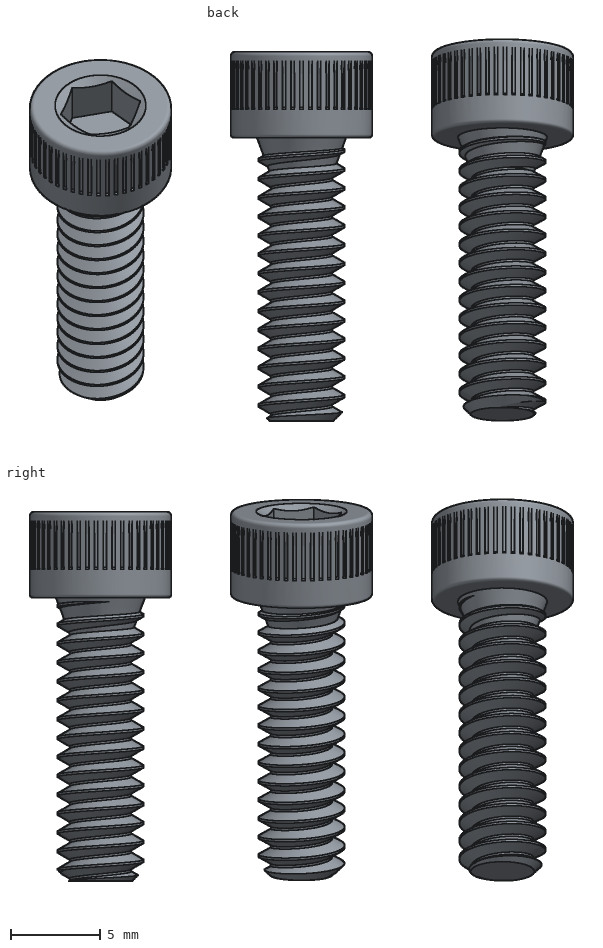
import cadquery as cq
import math

TOTAL_LENGTH = 20.7
HEAD_HEIGHT = 4.82
HEAD_RADIUS = 3.97
SHANK_LENGTH = TOTAL_LENGTH - HEAD_HEIGHT
HEAD_TOP_FILLET = 0.25
HEAD_BOTTOM_FILLET = 0.19

SOCKET_SIDES = 6
SOCKET_FLATS = 3.97
SOCKET_DEPTH = 2.45
COUNTERSINK_RADIUS = 2.55
COUNTERSINK_SLOPE = 30.0

KNURL_COUNT = 50
KNURL_WIDTH = 0.19
KNURL_DEPTH = 0.1
KNURL_TOP = 0.52
KNURL_BOTTOM = 3.23
KNURL_RAMP = 0.75

THREAD_TURNS = 15
PITCH = SHANK_LENGTH / THREAD_TURNS
OVERRUN_TURNS = 2
CREST_RADIUS = 2.42
CREST_FLAT = PITCH / 8
ROOT_FLAT = PITCH / 8
FLANK_ANGLE = 30.0
FLANK_RISE = (PITCH - CREST_FLAT - ROOT_FLAT) / 2
THREAD_DEPTH = FLANK_RISE / math.tan(math.radians(FLANK_ANGLE))
ROOT_RADIUS = CREST_RADIUS - THREAD_DEPTH
TIP_CHAMFER = 0.65
RIDGE_PHASE = 0.87

NECK_RADIUS = 2.5
NECK_LENGTH = 2.07

OVERLAP = 0.06


def make_head():
    head = cq.Workplane("XY").workplane(offset=SHANK_LENGTH).circle(HEAD_RADIUS).extrude(HEAD_HEIGHT)
    head = head.faces(">Z").edges().fillet(HEAD_TOP_FILLET)
    return head.faces("<Z").edges().fillet(HEAD_BOTTOM_FILLET)


def make_socket():
    """Hexagonal prism with corners on the Y axis, plus the countersink cone at its mouth."""
    across_corners = SOCKET_FLATS / math.cos(math.pi / SOCKET_SIDES)
    hexagon = (
        cq.Workplane("XY")
        .workplane(offset=TOTAL_LENGTH - SOCKET_DEPTH)
        .transformed(rotate=(0, 0, 90))
        .polygon(SOCKET_SIDES, across_corners)
        .extrude(SOCKET_DEPTH)
    )
    cone_depth = COUNTERSINK_RADIUS * math.tan(math.radians(COUNTERSINK_SLOPE))
    cone = cq.Solid.makeCone(0, COUNTERSINK_RADIUS, cone_depth, cq.Vector(0, 0, TOTAL_LENGTH - cone_depth))
    return hexagon.union(cq.Workplane(cone))


def make_knurl_cutters():
    """Narrow grooves with a long ramp at the top and a 45 degree ramp at the bottom."""
    floor = HEAD_RADIUS - KNURL_DEPTH
    outside = HEAD_RADIUS + OVERLAP
    top = TOTAL_LENGTH - KNURL_TOP
    bottom = TOTAL_LENGTH - KNURL_BOTTOM
    groove = (
        cq.Workplane("XZ")
        .moveTo(HEAD_RADIUS, top)
        .lineTo(floor, top - KNURL_RAMP)
        .lineTo(floor, bottom + KNURL_DEPTH)
        .lineTo(HEAD_RADIUS, bottom)
        .lineTo(outside, bottom)
        .lineTo(outside, top)
        .close()
        .extrude(KNURL_WIDTH / 2, both=True)
    )
    angles = [90 + index * 360 / KNURL_COUNT for index in range(KNURL_COUNT)]
    cutters = [groove.rotate((0, 0, 0), (0, 0, 1), angle).val() for angle in angles]
    return cq.Workplane(cq.Compound.makeCompound(cutters))


def make_thread_ridge():
    """Trapezoidal ridge wound along a helix, overrunning both ends of the shank and rooted in the core."""
    start = RIDGE_PHASE - OVERRUN_TURNS * PITCH
    rise = (THREAD_TURNS + 2 * OVERRUN_TURNS) * PITCH
    base_radius = ROOT_RADIUS - OVERLAP
    half_crest = CREST_FLAT / 2
    half_base = half_crest + (CREST_RADIUS - base_radius) * math.tan(math.radians(FLANK_ANGLE))
    corners = [
        (base_radius, start - half_base),
        (CREST_RADIUS, start - half_crest),
        (CREST_RADIUS, start + half_crest),
        (base_radius, start + half_base),
    ]
    helices = [cq.Wire.makeHelix(PITCH, rise, radius, cq.Vector(0, 0, z)) for radius, z in corners]
    faces = [cq.Face.makeRuledSurface(helices[i - 1], helices[i]) for i in range(len(helices))]
    lower_end = cq.Face.makeFromWires(
        cq.Wire.makePolygon([cq.Vector(radius, 0, z) for radius, z in corners], close=True)
    )
    upper_end = lower_end.translate(cq.Vector(0, 0, rise))
    return cq.Workplane(cq.Solid.makeSolid(cq.Shell.makeShell(faces + [lower_end, upper_end])))


def make_shank():
    """Root cylinder plus the ridge, trimmed to the shank length and the chamfered tip."""
    envelope = cq.Workplane("XY").circle(CREST_RADIUS + OVERLAP).extrude(SHANK_LENGTH)
    envelope = envelope.faces("<Z").chamfer(TIP_CHAMFER + OVERLAP)
    core = cq.Workplane("XY").circle(ROOT_RADIUS).extrude(SHANK_LENGTH)
    return core.union(make_thread_ridge().intersect(envelope))


def make_neck():
    neck_bottom = cq.Vector(0, 0, SHANK_LENGTH - NECK_LENGTH)
    return cq.Workplane(cq.Solid.makeCone(ROOT_RADIUS, NECK_RADIUS, NECK_LENGTH, neck_bottom))


head = make_head().cut(make_socket()).cut(make_knurl_cutters())
result = make_shank().union(make_neck()).union(head)